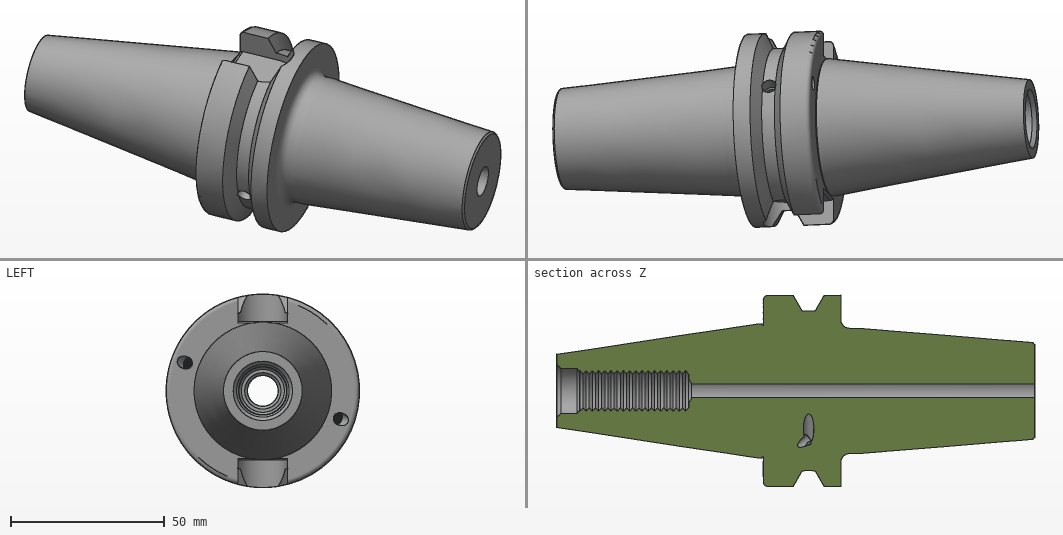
import cadquery as cq
import math

length = 155.4
gauge_x = 65.7
gauge_radius = 22.4
taper_rate = 7 / 24
small_end_radius = gauge_radius - gauge_x * taper_rate / 2
gauge_land = 1.0
relief_radius = 21.8

flange_start = 67.1
flange_end = 92.5
flange_diameter = 63.0
flange_radius = flange_diameter / 2
flange_fillet = 1.4
groove_middle = 81.9
groove_width = 10.0
groove_floor_diameter = 53.0
groove_floor_radius = groove_floor_diameter / 2
groove_angle = 60.0
groove_depth = flange_radius - groove_floor_radius
groove_floor_width = groove_width - 2 * groove_depth * math.tan(math.radians(groove_angle / 2))

nose_radius = 21.0
nose_fillet = 2.6
nose_straight_end = 97.9
nose_angle = 4.5
nose_end_radius = nose_radius - (length - nose_straight_end) * math.tan(math.radians(nose_angle))
nose_chamfer = 0.6

slot_width = 16.2
slot_floor_height = 22.5
slot_end = 88.6
slot_entry_length = 1.0
slot_entry_drop = 0.5

mouth_radius = 9.6
counterbore_radius = 8.5
mouth_chamfer_depth = 1.4
counterbore_depth = 6.5
draw_thread_minor_radius = 7.0
draw_thread_major_radius = 8.0
draw_thread_pitch = 2.0
draw_thread_turns = 18
through_radius = 5.0
through_chamfer = 1.0

coolant_angle = 20.0
feed_slope = 35.0
feed_entry_radius = 27.0
feed_smooth_depth = 2.5
feed_minor_radius = 2.0
feed_major_radius = 2.3
feed_pitch = 0.6
feed_turns = 16
plug_seat_diameter = 4.7
plug_seat_depth = 4.5
coolant_duct_diameter = 3.3


def revolved(profile):
    """Turn an outline drawn as X and radius about the X axis."""
    return profile.close().revolve(360, (0, 0, 0), (1, 0, 0))


def make_body():
    """Solid of revolution: shank taper, grooved flange and nose."""
    groove_start = groove_middle - groove_width / 2
    groove_end = groove_middle + groove_width / 2
    floor_start = groove_middle - groove_floor_width / 2
    floor_end = groove_middle + groove_floor_width / 2
    return revolved(
        cq.Workplane("XY")
        .lineTo(0, small_end_radius)
        .lineTo(gauge_x, gauge_radius)
        .lineTo(gauge_x + gauge_land, gauge_radius)
        .lineTo(flange_start, relief_radius)
        .lineTo(flange_start, flange_radius - flange_fillet)
        .radiusArc((flange_start + flange_fillet, flange_radius), flange_fillet)
        .lineTo(groove_start, flange_radius)
        .lineTo(floor_start, groove_floor_radius)
        .lineTo(floor_end, groove_floor_radius)
        .lineTo(groove_end, flange_radius)
        .lineTo(flange_end, flange_radius)
        .lineTo(flange_end, nose_radius + nose_fillet)
        .radiusArc((flange_end + nose_fillet, nose_radius), -nose_fillet)
        .lineTo(nose_straight_end, nose_radius)
        .lineTo(length - nose_chamfer, nose_end_radius)
        .lineTo(length, nose_end_radius - nose_chamfer)
        .lineTo(length, 0)
    )


def threaded_rod(minor_radius, major_radius, pitch, turns):
    """Solid along +X from the origin whose V-shaped rings stand in for a thread."""
    outline = cq.Workplane("XY").lineTo(0, minor_radius)
    for turn in range(turns):
        outline = outline.lineTo((turn + 0.5) * pitch, major_radius)
        outline = outline.lineTo((turn + 1) * pitch, minor_radius)
    return revolved(outline.lineTo(turns * pitch, 0))


def make_bore():
    """Chamfered counterbore, thread and through hole along the axis."""
    cone_end = counterbore_depth + counterbore_radius - draw_thread_minor_radius
    thread_end = counterbore_depth + draw_thread_turns * draw_thread_pitch
    stepped = revolved(
        cq.Workplane("XY")
        .lineTo(0, mouth_radius)
        .lineTo(mouth_chamfer_depth, counterbore_radius)
        .lineTo(counterbore_depth, counterbore_radius)
        .lineTo(cone_end, draw_thread_minor_radius)
        .lineTo(thread_end, draw_thread_minor_radius)
        .lineTo(thread_end, through_radius + through_chamfer)
        .lineTo(thread_end + through_chamfer, through_radius)
        .lineTo(length, through_radius)
        .lineTo(length, 0)
    )
    thread = threaded_rod(
        draw_thread_minor_radius, draw_thread_major_radius, draw_thread_pitch, draw_thread_turns
    )
    return stepped.union(thread.translate((counterbore_depth, 0, 0)))


def make_slot():
    """Round-ended drive slot at +Z with a bevelled floor edge at its mouth."""
    slot_radius = slot_width / 2
    round_middle = slot_end - slot_radius
    slot = (
        cq.Workplane("XY", origin=(0, 0, slot_floor_height))
        .moveTo(flange_start, -slot_radius)
        .lineTo(round_middle, -slot_radius)
        .threePointArc((slot_end, 0), (round_middle, slot_radius))
        .lineTo(flange_start, slot_radius)
        .close()
        .extrude(flange_radius)
    )
    entry = (
        cq.Workplane("XZ", origin=(0, slot_radius, 0))
        .moveTo(flange_start, slot_floor_height)
        .lineTo(flange_start + slot_entry_length, slot_floor_height)
        .lineTo(flange_start, slot_floor_height - slot_entry_drop)
        .close()
        .extrude(slot_width)
    )
    return slot.union(entry)


def make_coolant_hole():
    """Sloping feed and stepped radial hole, laid out towards +Y and then turned about the X axis."""
    slope = math.radians(feed_slope)
    overrun = feed_minor_radius * math.tan(slope)
    reach = (groove_middle - flange_start) / math.cos(slope)
    smooth_hole = (
        cq.Workplane("YZ", origin=(-overrun, 0, 0))
        .circle(feed_minor_radius)
        .extrude(overrun + reach)
    )
    thread = threaded_rod(feed_minor_radius, feed_major_radius, feed_pitch, feed_turns)
    feed = (
        smooth_hole.union(thread.translate((feed_smooth_depth, 0, 0)))
        .rotate((0, 0, 0), (0, 0, 1), -feed_slope)
        .translate((flange_start, feed_entry_radius, 0))
    )
    seat_floor = groove_floor_radius - plug_seat_depth
    cross = cq.Workplane("XZ", origin=(groove_middle, seat_floor, 0))
    plug_seat = cross.circle(plug_seat_diameter / 2).extrude(seat_floor - flange_radius)
    duct = cross.circle(coolant_duct_diameter / 2).extrude(seat_floor)
    hole = feed.union(plug_seat).union(duct)
    return hole.rotate((0, 0, 0), (1, 0, 0), coolant_angle)


result = make_body().cut(make_bore())
for feature in (make_slot(), make_coolant_hole()):
    for turn in (0, 180):
        result = result.cut(feature.rotate((0, 0, 0), (1, 0, 0), turn))